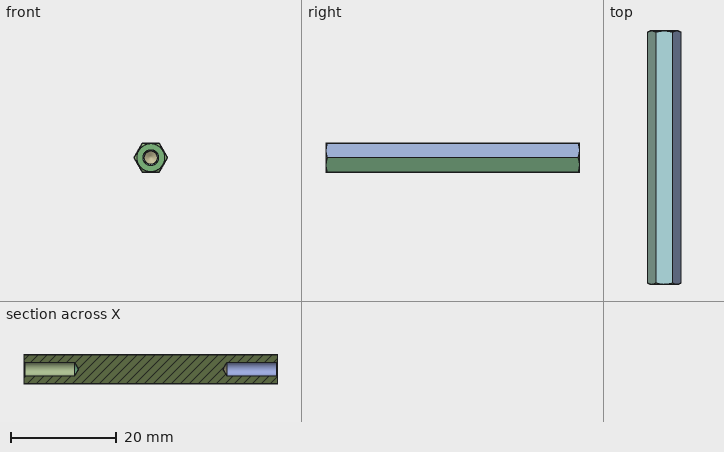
import cadquery as cq
import math

length = 48.0
across_flats = 5.5

end_face_diameter = 5.3
corner_chamfer_angle = 30.0

bore_diameter = 2.5
mouth_diameter = 3.0
bore_depth = 9.6
drill_point_angle = 118.0

across_corners = across_flats / math.cos(math.radians(30))
corner_radius = across_corners / 2
end_face_radius = end_face_diameter / 2
chamfer_length = (corner_radius - end_face_radius) * math.tan(math.radians(corner_chamfer_angle))
bore_radius = bore_diameter / 2
mouth_radius = mouth_diameter / 2
countersink_depth = mouth_radius - bore_radius
drill_point_length = bore_radius / math.tan(math.radians(drill_point_angle / 2))
half_length = length / 2


def revolve_about_y(points):
    """Turn a closed (radius, y) profile around the Y axis."""
    return cq.Workplane("XY").polyline(points).close().revolve(360, (0, 0, 0), (0, 1, 0))


def hexagonal_bar():
    """Hexagon with corners on the X axis, centred along Y."""
    return cq.Workplane("XZ").polygon(6, across_corners).extrude(half_length, both=True)


def chamfered_envelope():
    """Round bar through the hexagon corners, with both ends coned."""
    return revolve_about_y([
        (0, -half_length),
        (end_face_radius, -half_length),
        (corner_radius, -half_length + chamfer_length),
        (corner_radius, half_length - chamfer_length),
        (end_face_radius, half_length),
        (0, half_length),
    ])


def front_hole():
    """Countersunk blind hole with a conical bottom, entering from -Y."""
    return revolve_about_y([
        (0, -half_length),
        (mouth_radius, -half_length),
        (bore_radius, -half_length + countersink_depth),
        (bore_radius, -half_length + bore_depth),
        (0, -half_length + bore_depth + drill_point_length),
    ])


hole = front_hole()
opposite_hole = hole.mirror("XZ")
result = hexagonal_bar().intersect(chamfered_envelope()).cut(hole).cut(opposite_hole)